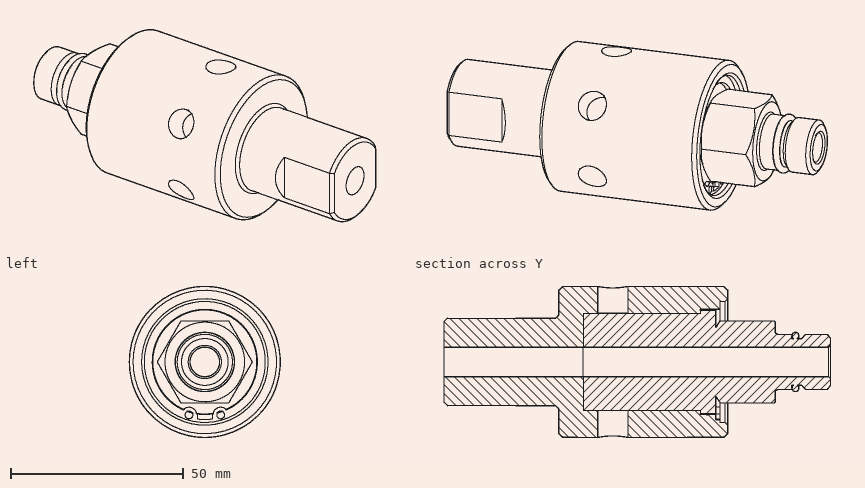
import cadquery as cq
import math

total_length = 111.9
passage_diameter = 8.5
passage_chamfer = 0.6

nipple_radius = 16.0 / 2
nipple_tip_radius = 13.5 / 2
tip_chamfer_length = 0.9
groove_radius = nipple_tip_radius
groove_shoulder_x = 7.3
groove_start_x = 8.4
seal_x = 10.2
seal_outer_radius = 8.6
seal_section_radius = 1.0
groove_end_x = 11.2
flare_start_x = 15.3
flare_radius = 8.5

hex_start_x = 16.0
hex_across_flats = 23.8
hex_face_radius = 23.0 / 2
hex_rear_radius = 19.8 / 2
hex_chamfer_angle = 30
flange_radius = 30.1 / 2
flange_length = 4.5
core_radius = 14.1
core_end_x = 71.6

barrel_start_x = 29.8
barrel_end_x = 78.7
barrel_radius = 43.8 / 2
barrel_chamfer = 1.1
counterbore_radius = 30.4 / 2
mouth_radius = 35.0 / 2
mouth_chamfer = 0.8
ring_face_depth = 2.2
ring_thickness = 1.2

lug_hole_radius = 1.1
lug_radius = 2.2
lug_y = 4.6
lug_z = -15.3
ring_gap_width = 4.4
ring_gap_outer_radius = 16.7

vent_count = 6
vent_diameter = 8.6
vent_x = 63.0

shank_radius = 25.4 / 2
neck_chamfer = 0.9
shank_chamfer = 1.0
flat_across = 21.7
flat_start_x = 94.4

ring_face_x = barrel_start_x + ring_face_depth
flange_face_x = ring_face_x + ring_thickness
flange_end_x = flange_face_x + flange_length


def cylinder(start_x, end_x, radius, y=0.0, z=0.0):
    """A cylinder along X."""
    return cq.Workplane("YZ", origin=(start_x, y, z)).circle(radius).extrude(end_x - start_x)


def cone(start_x, start_radius, end_x, end_radius):
    """A cone frustum along X."""
    profile = [(start_x, 0), (start_x, start_radius), (end_x, end_radius), (end_x, 0)]
    return cq.Workplane("XY").polyline(profile).close().revolve(360, (0, 0), (1, 0))


def make_nipple():
    """The grooved plug end, with the seal bead standing in its groove."""
    profile = [
        (0, 0),
        (0, nipple_tip_radius),
        (tip_chamfer_length, nipple_radius),
        (groove_shoulder_x, nipple_radius),
        (groove_start_x, groove_radius),
        (groove_end_x, groove_radius),
        (groove_end_x, nipple_radius),
        (flare_start_x, nipple_radius),
        (hex_start_x, flare_radius),
        (hex_start_x, 0),
    ]
    body = cq.Workplane("XY").polyline(profile).close().revolve(360, (0, 0), (1, 0))
    seal_path_radius = seal_outer_radius - seal_section_radius
    seal = (
        cq.Workplane("XY")
        .center(seal_x, seal_path_radius)
        .circle(seal_section_radius)
        .revolve(360, (0, -seal_path_radius), (1, -seal_path_radius))
    )
    return body.union(seal)


def make_hexagon():
    """The wrench hexagon, its corners along Y, with conical chamfers at both ends."""
    corner_radius = hex_across_flats / math.sqrt(3)
    chamfer_slope = math.tan(math.radians(hex_chamfer_angle))
    prism = (
        cq.Workplane("YZ", origin=(hex_start_x, 0, 0))
        .polygon(6, 2 * corner_radius)
        .extrude(flange_face_x - hex_start_x)
    )
    chamfer_end_x = hex_start_x + (corner_radius - hex_face_radius) * chamfer_slope
    rear_chamfer_x = flange_face_x - (corner_radius - hex_rear_radius) * chamfer_slope
    envelope = (
        cone(hex_start_x, hex_face_radius, chamfer_end_x, corner_radius)
        .union(cylinder(chamfer_end_x, rear_chamfer_x, corner_radius))
        .union(cone(rear_chamfer_x, corner_radius, flange_face_x, hex_rear_radius))
    )
    return prism.intersect(envelope)


def make_rotor():
    """Nipple, hexagon, flange and core on one drilled axis."""
    flange = cylinder(flange_face_x, flange_end_x, flange_radius)
    core = cylinder(flange_end_x, core_end_x, core_radius)
    passage = cylinder(0, core_end_x, passage_diameter / 2)
    countersink = cone(0, passage_diameter / 2 + passage_chamfer, passage_chamfer, passage_diameter / 2)
    outside = make_nipple().union(make_hexagon()).union(flange).union(core)
    return outside.cut(passage).cut(countersink)


def make_shank():
    """The round shank with two wrench flats that run out at 45 degrees."""
    shank = cylinder(barrel_end_x, total_length, shank_radius)
    flat_y = flat_across / 2
    runout = shank_radius - flat_y
    section = [
        (flat_start_x, flat_y),
        (flat_start_x - runout, shank_radius),
        (total_length, shank_radius),
        (total_length, flat_y),
    ]
    flat_cut = cq.Workplane("XY").polyline(section).close().extrude(shank_radius, both=True)
    shank = shank.cut(flat_cut).cut(flat_cut.mirror("XZ"))
    return shank.faces(">X").chamfer(shank_chamfer)


def make_retaining_ring():
    """Retaining ring with two lugs; the housing holds it in one piece."""
    ring = cylinder(ring_face_x, flange_face_x, mouth_radius)
    ring = ring.cut(cylinder(ring_face_x, flange_face_x, counterbore_radius))
    for side in (-1, 1):
        ring = ring.union(cylinder(ring_face_x, flange_face_x, lug_radius, side * lug_y, lug_z))
    gap = cylinder(ring_face_x, flange_face_x, ring_gap_outer_radius).intersect(
        cq.Workplane("XY")
        .box(ring_thickness, ring_gap_width, barrel_radius, centered=(False, True, False))
        .translate((ring_face_x, 0, -barrel_radius))
    )
    ring = ring.cut(gap)
    for side in (-1, 1):
        ring = ring.cut(cylinder(ring_face_x, flange_face_x, lug_hole_radius, side * lug_y, lug_z))
    return ring


def make_housing():
    """Barrel with a stepped bore, vent holes down to the rotor core, retaining ring and shank."""
    barrel = cylinder(barrel_start_x, barrel_end_x, barrel_radius).faces("<X or >X").chamfer(barrel_chamfer)
    barrel = barrel.cut(cylinder(barrel_start_x, flange_face_x, mouth_radius))
    barrel = barrel.cut(
        cone(barrel_start_x, mouth_radius + mouth_chamfer, barrel_start_x + mouth_chamfer, mouth_radius)
    )
    barrel = barrel.cut(cylinder(flange_face_x, flange_end_x, counterbore_radius))
    barrel = barrel.cut(cylinder(flange_end_x, core_end_x, core_radius))
    for index in range(vent_count):
        vent = cq.Workplane("XY", origin=(vent_x, 0, 0)).circle(vent_diameter / 2).extrude(barrel_radius)
        barrel = barrel.cut(vent.rotate((0, 0, 0), (1, 0, 0), index * 360 / vent_count))
    neck = cone(barrel_end_x, shank_radius + neck_chamfer, barrel_end_x + neck_chamfer, shank_radius)
    passage = cylinder(core_end_x, total_length, passage_diameter / 2)
    return barrel.union(make_shank()).union(neck).union(make_retaining_ring()).cut(passage)


rotor = make_rotor()
housing = make_housing()

result = cq.Compound.makeCompound([rotor.solids().val(), housing.solids().val()])